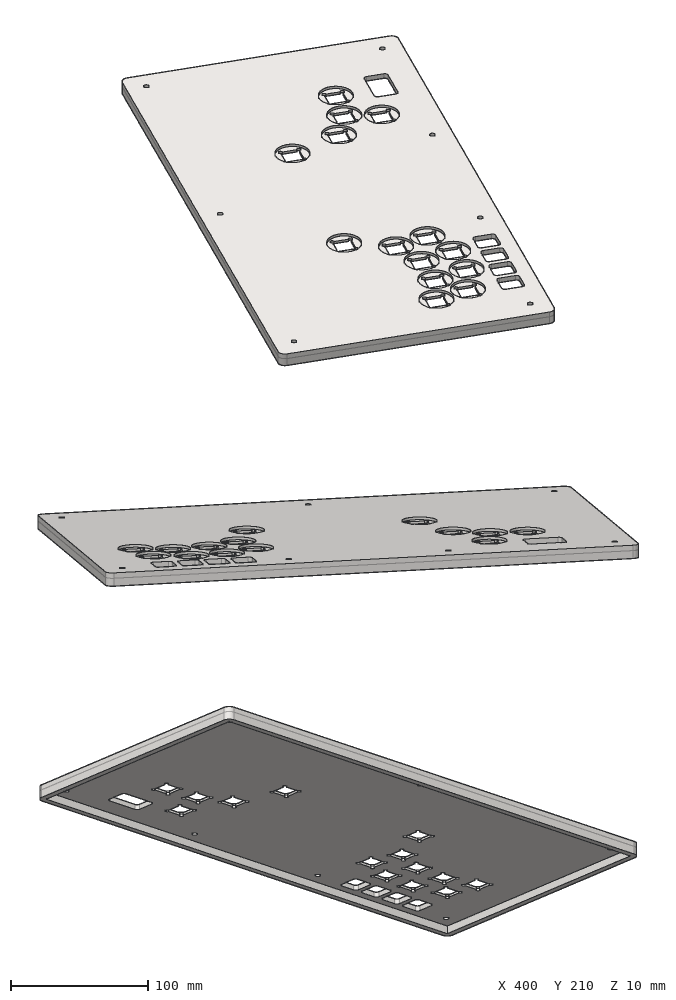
import cadquery as cq

length = 400.0
width = 210.0
height = 10.0
plate_thickness = 4.0
rim_height = height - plate_thickness
corner_radius = 5.0
rim_wall = 5.0

screw_diameter = 4.0
screw_edge_distance = 15.0
screw_x = length / 2 - screw_edge_distance
screw_y = width / 2 - screw_edge_distance
upper_inner_screw_x = 60.0

recess_diameter = 25.5
web_thickness = 2.0
recess_depth = plate_thickness - web_thickness
square_side = 14.0
relief_diameter = 3.0

direction_buttons = [(-132.5, 38.5), (-105.0, 36.5), (-97.5, 63.0), (-80.0, 25.0)]
action_buttons_upper = [(73.0, 45.5), (98.0, 57.5), (125.0, 59.5), (152.0, 52.5)]
action_buttons_lower = [(80.0, 19.5), (105.0, 31.5), (132.5, 33.5), (159.0, 26.5)]
thumb_button_x = 65.0
thumb_button_y = -15.0
thumb_buttons = [(side * thumb_button_x, thumb_button_y) for side in (-1, 1)]
button_centers = direction_buttons + action_buttons_upper + action_buttons_lower + thumb_buttons

small_window_width = 16.0
small_window_height = 17.0
small_window_pitch = 20.0
small_window_count = 4
small_window_first_x = 92.5
small_window_y = 85.0

wide_window_width = 29.0
wide_window_height = 18.0
wide_window_center = (-136.5, 74.0)

window_corner_radius = 2.5


def rounded_block(center, size_x, size_y, radius, bottom, thickness):
    """Upright block with rounded vertical edges."""
    return (
        cq.Workplane("XY", origin=(center[0], center[1], bottom))
        .rect(size_x, size_y)
        .extrude(thickness)
        .edges("|Z")
        .fillet(radius)
    )


def plate_window(center, size_x, size_y):
    """Cutter for a rounded window through the top plate."""
    return rounded_block(center, size_x, size_y, window_corner_radius, rim_height, plate_thickness)


def button_seats():
    """Cutter for all button recesses and their corner-relieved square holes."""
    recesses = (
        cq.Workplane("XY", origin=(0, 0, height - recess_depth))
        .pushPoints(button_centers)
        .circle(recess_diameter / 2)
        .extrude(recess_depth)
    )
    half_side = square_side / 2
    relief_centers = [
        (x + side_x * half_side, y + side_y * half_side)
        for x, y in button_centers
        for side_x in (-1, 1)
        for side_y in (-1, 1)
    ]
    web = cq.Workplane("XY", origin=(0, 0, rim_height))
    squares = web.pushPoints(button_centers).rect(square_side, square_side).extrude(web_thickness)
    reliefs = web.pushPoints(relief_centers).circle(relief_diameter / 2).extrude(web_thickness)
    return recesses.union(squares).union(reliefs)


def screw_holes():
    """Cutter for the screw holes."""
    upper_row = [(x, screw_y) for x in (-screw_x, -upper_inner_screw_x, upper_inner_screw_x, screw_x)]
    lower_row = [(x, -screw_y) for x in (-screw_x, 0, screw_x)]
    return cq.Workplane("XY").pushPoints(upper_row + lower_row).circle(screw_diameter / 2).extrude(height)


plate = rounded_block((0, 0), length, width, corner_radius, rim_height, plate_thickness)
rim = rounded_block((0, 0), length, width, corner_radius, 0, rim_height)
cavity = cq.Workplane("XY").rect(length - 2 * rim_wall, width - 2 * rim_wall).extrude(rim_height)

result = rim.cut(cavity).union(plate, clean=False)

result = result.cut(button_seats(), clean=False).cut(screw_holes(), clean=False)
result = result.cut(plate_window(wide_window_center, wide_window_width, wide_window_height), clean=False)
for index in range(small_window_count):
    center = (small_window_first_x + index * small_window_pitch, small_window_y)
    result = result.cut(plate_window(center, small_window_width, small_window_height), clean=False)